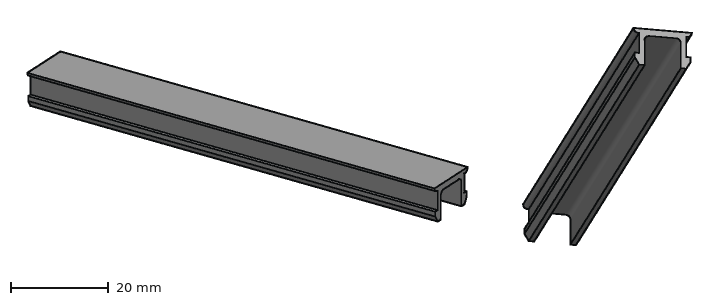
import cadquery as cq

length = 100.0
cover_width = 12.3
height = 8.0
web_thickness = 1.5
leg_outer_width = 9.9
leg_inner_width = 7.6
inner_fillet = 1.0
edge_radius = 1.0
barb_width = 11.7
barb_top = 2.6
barb_bottom = 1.5

cover_half = cover_width / 2
leg_outer = leg_outer_width / 2
leg_inner = leg_inner_width / 2
barb_half = barb_width / 2


def half_profile():
    """Closed outline of the +Y half of the snap-in cover, drawn in the YZ plane."""
    web_underside = height - web_thickness
    return (
        cq.Workplane("YZ", origin=(-length / 2, 0, 0))
        .moveTo(0, height)
        .lineTo(cover_half, height)
        .radiusArc((cover_half - edge_radius, height - edge_radius), edge_radius)
        .lineTo(leg_outer, height - edge_radius)
        .lineTo(leg_outer, barb_top)
        .lineTo(barb_half, barb_top)
        .lineTo(barb_half, barb_bottom)
        .lineTo(leg_outer, 0)
        .lineTo(leg_inner, 0)
        .lineTo(leg_inner, web_underside - inner_fillet)
        .radiusArc((leg_inner - inner_fillet, web_underside), -inner_fillet)
        .lineTo(0, web_underside)
        .close()
    )


half_cover = half_profile().extrude(length)
result = half_cover.union(half_cover.mirror("XZ")).clean()